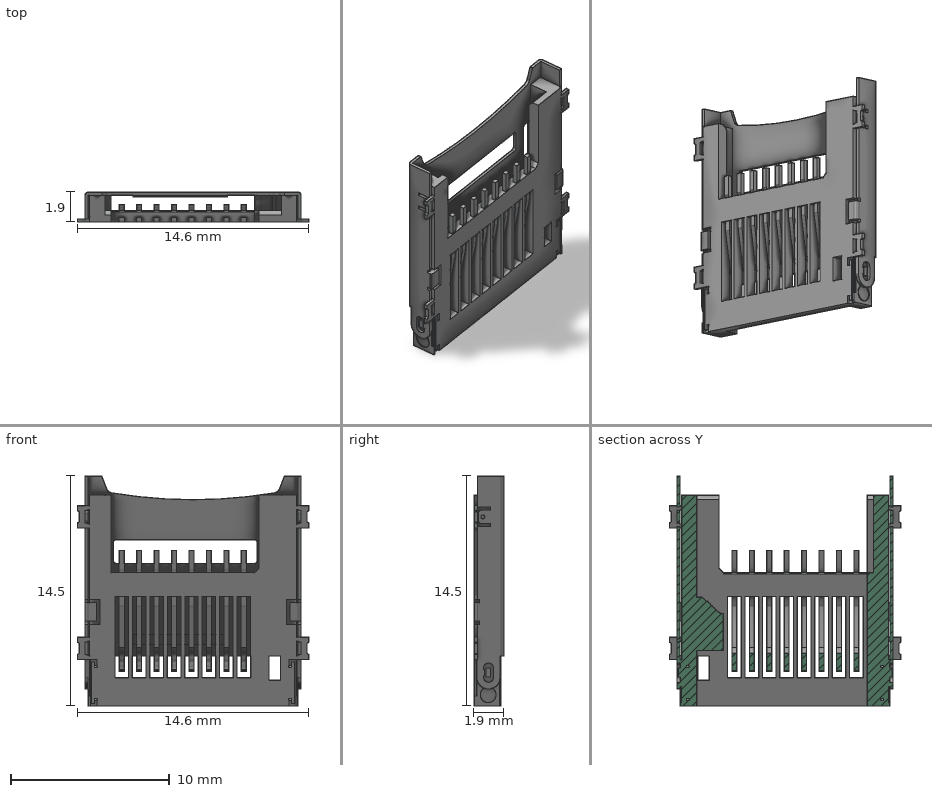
import cadquery as cq


total_width = 14.6
total_depth = 1.9
total_height = 14.5

sheet = 0.2
shell_half = 6.82
shell_inner_half = shell_half - sheet
shell_inner_back = total_depth - sheet
shell_bottom = 3.15
bend_radius = 0.2

body_half = 6.53
body_top = 13.3
foot_top = 2.93
foot_chamfer = 0.09
floor_depth = 0.73
card_half = 5.56
bar_top = 8.42
bar_chamfer = 0.09
lead_in = 0.28
notch_left = -5.17
notch_right = 4.16
notch_corner = 0.28

contact_count = 8
first_contact_x = -4.5
last_contact_x = 3.2
contact_width = 0.32
contact_thickness = 0.2
slot_width = 0.85
slot_bottom = 1.8
slot_top = 6.9
tail_depth = 0.29
tail_top = 9.83
tail_bend_top = 8.58
tail_setback = 0.05

leg_height = 1.42
upper_leg_bottom = 11.23
lower_leg_bottom = foot_top

latch_recess_bottom = 5.15
latch_recess_top = 6.73
latch_recess_inner = 5.88
latch_recess_depth = 0.35
latch_hook_inner = 6.1
latch_relief = 0.2


def block(x0, x1, y0, y1, z0, z1):
    """Box between two corners."""
    return cq.Workplane("XY").box(x1 - x0, y1 - y0, z1 - z0, centered=False).translate((x0, y0, z0))


def plan_sketch(y):
    """Workplane with local axes X and Z; negative extrusions run towards +Y."""
    return cq.Workplane(cq.Plane(origin=(0, y, 0), xDir=(1, 0, 0), normal=(0, -1, 0)))


def side_sketch(x):
    """Workplane with local axes Y and Z whose extrusions run towards +X."""
    return cq.Workplane(cq.Plane(origin=(x, 0, 0), xDir=(0, 1, 0), normal=(1, 0, 0)))


def both_sides(left):
    """The left-hand feature together with its mirror image."""
    return left.union(left.mirror("YZ"))


contact_pitch = (last_contact_x - first_contact_x) / (contact_count - 1)
contact_positions = [first_contact_x + i * contact_pitch for i in range(contact_count)]



def body_shell():
    """Floor, side walls and wider foot around the open card channel."""
    body = block(-body_half, body_half, 0, shell_inner_back, 0, body_top)
    foot = block(-shell_inner_half, shell_inner_half, 0, shell_inner_back, 0, foot_top)
    foot = foot.edges("|Z and >Y").chamfer(foot_chamfer)
    channel = block(-card_half, card_half, floor_depth, shell_inner_back, 0, body_top)
    ramp = (
        side_sketch(-card_half)
        .polyline([
            (floor_depth - lead_in, body_top),
            (floor_depth, body_top),
            (floor_depth, body_top - lead_in),
        ])
        .close()
        .extrude(2 * card_half)
    )
    return body.union(foot).cut(channel).cut(ramp)


def mouth_notch():
    """Opening in the floor above the contact bar, with one bevelled corner and a bevelled bar edge."""
    notch = (
        plan_sketch(0)
        .polyline([
            (notch_left, bar_top),
            (notch_right - notch_corner, bar_top),
            (notch_right, bar_top + notch_corner),
            (notch_right, body_top),
            (notch_left, body_top),
        ])
        .close()
        .extrude(-floor_depth)
    )
    bevel = (
        side_sketch(notch_left)
        .polyline([
            (floor_depth - bar_chamfer, bar_top),
            (floor_depth, bar_top),
            (floor_depth, bar_top - bar_chamfer),
        ])
        .close()
        .extrude(notch_right - notch_corner - notch_left)
    )
    return notch.union(bevel)


def floor_windows():
    """Contact slots and the single inspection window."""
    window_left, window_right = 4.79, 5.5
    window_bottom = 1.64
    windows = block(window_left, window_right, 0, floor_depth, window_bottom, shell_bottom)
    for x in contact_positions:
        slot = block(x - slot_width / 2, x + slot_width / 2, 0, floor_depth, slot_bottom, slot_top)
        windows = windows.union(slot)
    return windows


def card_guides():
    """Plain rail at the left of the card channel and stepped slider at its right."""
    rail = block(-card_half, notch_left, floor_depth, shell_inner_back, 0, bar_top)
    slider_left = notch_right - notch_corner
    slider_bottom, slider_shoulder = 3.5, 5.84
    curve_x, curve_rise = 4.1, 0.05
    ramp_x, ramp_rise = 4.28, 0.16
    landing_start, landing_end = 4.92, 5.0
    step_end = 5.23
    curve_z = slider_shoulder + curve_rise
    ramp_z = slider_shoulder + ramp_rise
    landing_z = ramp_z + landing_start - ramp_x
    slider_top = landing_z + step_end - landing_end
    slider = (
        plan_sketch(floor_depth)
        .moveTo(slider_left, slider_bottom)
        .lineTo(slider_left, slider_shoulder)
        .threePointArc((curve_x, curve_z), (ramp_x, ramp_z))
        .lineTo(landing_start, landing_z)
        .lineTo(landing_end, landing_z)
        .lineTo(step_end, slider_top)
        .lineTo(card_half, slider_top)
        .lineTo(card_half, slider_bottom)
        .close()
        .extrude(floor_depth - shell_inner_back)
    )
    return rail.union(slider)


def side_marks():
    """Round recess low on each side of the foot."""
    mark_diameter = 1.0
    mark_depth = 0.07
    mark_y, mark_z = 0.89, 0.72
    mark = side_sketch(-shell_inner_half).center(mark_y, mark_z).circle(mark_diameter / 2).extrude(mark_depth)
    return both_sides(mark)


def corner_grooves():
    """C-shaped groove at each lower front corner, with a small through hole at both tips."""
    outer, tip_outer, tip_inner = 6.48, 6.2, 6.05
    spine_width, arm_width = 0.09, 0.16
    tip_length = 0.48
    hole_length = 0.1
    depth = 0.15
    groove = block(-outer, spine_width - outer, 0, depth, 0, foot_top)
    hole = block(-tip_outer, -tip_inner, 0, shell_inner_back, tip_length - hole_length, tip_length)
    arm = block(-outer, -tip_inner, 0, depth, 0, arm_width)
    tip = block(-tip_outer, -tip_inner, 0, depth, 0, tip_length)
    hook = arm.union(tip).union(hole)
    upper_hook = hook.mirror("XY").translate((0, 0, foot_top))
    return both_sides(groove.union(hook).union(upper_hook))


def side_rebates():
    """Shallow rebate along each front side edge of the foot."""
    width, depth = 0.07, 0.18
    bottom = 0.64
    return both_sides(block(-shell_inner_half, width - shell_inner_half, 0, depth, bottom, foot_top))


def latch_recesses():
    """Pocket in each front side edge that takes the shell's hook."""
    return both_sides(block(
        -body_half, -latch_recess_inner, 0, latch_recess_depth, latch_recess_bottom, latch_recess_top
    ))


def make_body():
    body = body_shell().cut(mouth_notch()).cut(floor_windows()).union(card_guides())
    return body.cut(side_marks()).cut(corner_grooves()).cut(side_rebates()).cut(latch_recesses())



def back_plate():
    """Folded sheet: back and both side walls, with the curved finger cut-out and the long window."""
    wall_front = sheet
    shell = block(-shell_half, shell_half, wall_front, total_depth, shell_bottom, total_height)
    shell = shell.edges("|Z and >Y").fillet(bend_radius)
    shell = shell.cut(block(
        -shell_inner_half, shell_inner_half, wall_front, shell_inner_back, shell_bottom, total_height
    ))
    return shell.cut(finger_cutout()).cut(back_windows()).union(back_rib())


def finger_cutout():
    """Shallow arc between two horns at the top of the back."""
    horn_half, corner_half = 5.75, 5.36
    corner_z, arc_z = 13.49, 13.02
    corner_fillet = 0.44
    cutout = (
        plan_sketch(sheet)
        .moveTo(-horn_half, total_height)
        .lineTo(-corner_half, corner_z)
        .threePointArc((0, arc_z), (corner_half, corner_z))
        .lineTo(horn_half, total_height)
        .close()
        .extrude(sheet - total_depth)
    )
    return cutout.edges("|Y").edges("<Z").fillet(corner_fillet)


def back_windows():
    """Long rounded window behind the contact tails and an upright one behind the right-hand arm."""
    corner_radius = 0.18
    top = 10.48
    long_left, long_right, long_bottom = -5.02, 4.05, 9.01
    upright_left, upright_right, upright_bottom = 4.83, 5.5, 7.59
    long_window = block(long_left, long_right, shell_inner_back, total_depth, long_bottom, top)
    upright_window = block(upright_left, upright_right, shell_inner_back, total_depth, upright_bottom, top)
    return long_window.union(upright_window).edges("|Y").fillet(corner_radius)


def back_rib():
    """Low rib on the inside of the back."""
    left, right = -3.8, 2.16
    bottom, top = 3.9, 4.51
    rib_height = 0.1
    return block(left, right, shell_inner_back - rib_height, shell_inner_back, bottom, top)


def wall_tongues():
    """Round-ended lower extension of each side wall, with a keyed slot around a body peg."""
    front, back = 0.18, 1.65
    end_radius = (back - front) / 2
    middle = (front + back) / 2
    end_z = 1.08
    slot_front, slot_back = 0.6, 1.23
    slot_low, slot_high = 1.5, 2.72
    key_height, key_low, key_high = 0.06, 1.91, 2.3
    peg_front, peg_back = 0.75, 1.05
    peg_low, peg_high = 1.82, 2.41
    peg_length = 0.13

    tongue = (
        side_sketch(-shell_half)
        .moveTo(front, shell_bottom)
        .lineTo(front, end_z + end_radius)
        .threePointArc((middle, end_z), (back, end_z + end_radius))
        .lineTo(back, shell_bottom)
        .close()
        .extrude(sheet)
    )
    slot = (
        side_sketch(-shell_half)
        .center((slot_front + slot_back) / 2, (slot_low + slot_high) / 2)
        .slot2D(slot_high - slot_low, slot_back - slot_front, 90)
        .extrude(sheet)
    )
    key = block(-shell_half, -shell_inner_half, slot_front, slot_front + key_height, key_low, key_high)
    peg = block(-shell_inner_half - peg_length, -shell_inner_half, peg_front, peg_back, peg_low, peg_high)
    return both_sides(tongue.cut(slot).union(key).union(peg))


def spring_tab_cuts():
    """U-shaped slit above each upper leg, leaving a round-cornered tab with a dimple."""
    slit = 0.2
    low, high = 11.32, 12.55
    root_y, tab_end_y = 1.05, 0.28
    tab_corner = 0.18
    dimple_diameter, dimple_depth = 0.25, 0.06
    dimple_y = 0.55
    middle = (low + high) / 2

    tab = block(-shell_half, -shell_inner_half, tab_end_y, root_y, low + slit, high - slit)
    tab = tab.edges("|X and <Y").fillet(tab_corner)
    cut = block(-shell_half, -shell_inner_half, sheet, root_y, low, high).cut(tab)
    dimple = side_sketch(-shell_half).center(dimple_y, middle).circle(dimple_diameter / 2).extrude(dimple_depth)
    return both_sides(cut.union(dimple))


def latch_hooks():
    """Hook folded from each side wall into the body's recess."""
    hook = block(
        -shell_half, -latch_hook_inner, 0, latch_recess_depth,
        latch_recess_bottom + latch_relief, latch_recess_top - latch_relief,
    )
    return both_sides(hook.edges("|Z and <X and <Y").fillet(bend_radius))


def latch_reliefs():
    """Round-ended relief notch in the wall on both sides of each hook."""
    end_y = latch_recess_depth
    radius = latch_relief / 2
    reliefs = block(-shell_half, -shell_inner_half, 0, end_y, latch_recess_bottom, latch_recess_top)
    return both_sides(reliefs.edges("|X and >Y").fillet(radius))


def solder_leg(bottom):
    """Flat leg with a waisted outer end and a trapezoidal hole next to the body."""
    outer = total_width / 2
    waist = 7.18
    lug, lug_slope = 0.32, 0.07
    hole_margin = 0.25
    hole_slope = 0.09
    top = bottom + leg_height
    leg = (
        plan_sketch(0)
        .polyline([
            (-body_half, bottom),
            (-outer, bottom),
            (-outer, bottom + lug),
            (-waist, bottom + lug + lug_slope),
            (-waist, top - lug - lug_slope),
            (-outer, top - lug),
            (-outer, top),
            (-body_half, top),
        ])
        .close()
        .extrude(-sheet)
    )
    hole = (
        plan_sketch(0)
        .polyline([
            (-body_half, bottom + hole_margin),
            (-shell_half, bottom + hole_margin + hole_slope),
            (-shell_half, top - hole_margin - hole_slope),
            (-body_half, top - hole_margin),
        ])
        .close()
        .extrude(-sheet)
    )
    return both_sides(leg.cut(hole))


def make_shell():
    shell = back_plate().cut(spring_tab_cuts()).cut(latch_reliefs()).union(latch_hooks()).union(wall_tongues())
    return shell.union(solder_leg(upper_leg_bottom)).union(solder_leg(lower_leg_bottom))



def contact(x):
    """One spring contact in its slot and the solder tail above the bar."""
    left = x - contact_width / 2
    straight_back = tail_depth
    straight_front = straight_back - contact_thickness
    straight_end = 6.3
    ramp_y, ramp_z = 0.53, 3.7
    bend_y, bend_z = 0.61, 3.53
    hook_y, hook_z = 0.72, 3.37
    peak_y, peak_z = 0.9, 2.85
    tip_front_y, tip_front_z = 0.76, 2.3
    tip_back_y, tip_back_z = 0.9, 2.18
    tail = (
        side_sketch(left)
        .polyline([
            (tail_setback, bar_top),
            (0, tail_bend_top),
            (0, tail_top),
            (tail_depth, tail_top),
            (tail_depth, bar_top),
        ])
        .close()
        .extrude(contact_width)
    )
    spring = (
        side_sketch(left)
        .moveTo(straight_front, slot_top)
        .lineTo(straight_front, straight_end)
        .lineTo(ramp_y, ramp_z)
        .threePointArc((bend_y, bend_z), (hook_y, hook_z))
        .threePointArc((peak_y, peak_z), (tip_front_y, tip_front_z))
        .lineTo(tip_back_y, tip_back_z)
        .threePointArc((peak_y + contact_thickness, peak_z), (hook_y + contact_thickness, hook_z))
        .threePointArc((bend_y + contact_thickness, bend_z), (ramp_y + contact_thickness, ramp_z))
        .lineTo(straight_back, straight_end)
        .lineTo(straight_back, slot_top)
        .close()
        .extrude(contact_width)
    )
    return tail.union(spring)


socket = make_body().union(make_shell())
for contact_x in contact_positions:
    socket = socket.union(contact(contact_x))

result = socket